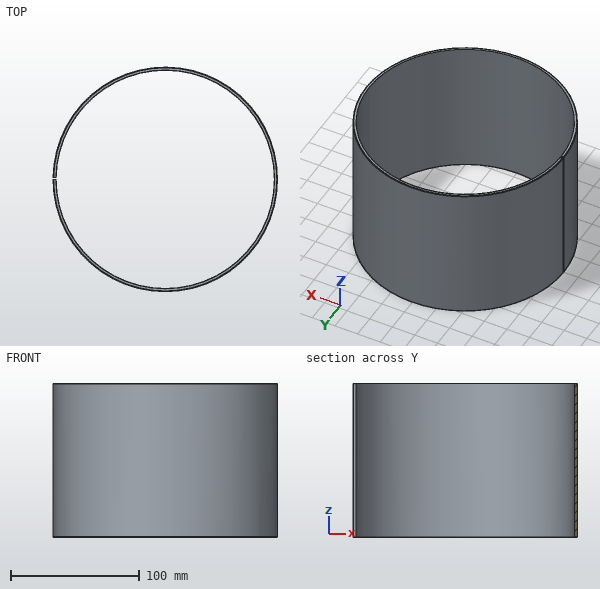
import cadquery as cq

outer_diameter = 175.0
height = 120.0
wall = 2.5
outer_chamfer = 0.5
seam_gap = 1.4

outer_radius = outer_diameter / 2
inner_radius = outer_radius - wall

sleeve = (
    cq.Workplane("XY")
    .circle(outer_radius)
    .extrude(height)
    .edges("%CIRCLE")
    .chamfer(outer_chamfer)
    .cut(cq.Workplane("XY").circle(inner_radius).extrude(height))
)

seam = cq.Workplane("XY").box(
    outer_radius, seam_gap, height, centered=(True, False, False)
).translate((-outer_radius, 0, 0))

result = sleeve.cut(seam)